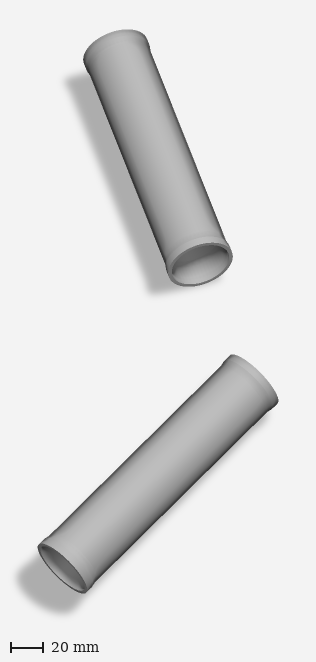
import cadquery as cq

length = 170.0

collar_diameter = 41.1
tube_diameter = 39.6
collar_length = 5.0
flare_length = 5.0

end_bore_diameter = 36.5
middle_bore_diameter = 37.5
end_bore_length = 13.5
bore_taper_length = 5.0

half_length = length / 2


def revolve_about_x(outline):
    """Turn a closed outline in the XZ plane once around the X axis."""
    return outline.close().revolve(360, (0, 0, 0), (1, 0, 0))


def tube_outside():
    """Straight tube that flares into the collars along concave arcs tangent to the tube."""
    collar_start = half_length - collar_length
    flare_start = collar_start - flare_length
    collar_radius = collar_diameter / 2
    tube_radius = tube_diameter / 2
    flare_height = collar_radius - tube_radius
    flare_radius = (flare_length**2 + flare_height**2) / (2 * flare_height)
    outline = (
        cq.Workplane("XZ")
        .moveTo(-half_length, 0)
        .lineTo(-half_length, collar_radius)
        .lineTo(-collar_start, collar_radius)
        .radiusArc((-flare_start, tube_radius), -flare_radius)
        .lineTo(flare_start, tube_radius)
        .radiusArc((collar_start, collar_radius), -flare_radius)
        .lineTo(half_length, collar_radius)
        .lineTo(half_length, 0)
    )
    return revolve_about_x(outline)


def tube_bore():
    """Bore with straight narrow ends joined to the wider middle by cones."""
    end_bore_start = half_length - end_bore_length
    taper_start = end_bore_start - bore_taper_length
    end_radius = end_bore_diameter / 2
    middle_radius = middle_bore_diameter / 2
    outline = cq.Workplane("XZ").polyline(
        [
            (-half_length, 0),
            (-half_length, end_radius),
            (-end_bore_start, end_radius),
            (-taper_start, middle_radius),
            (taper_start, middle_radius),
            (end_bore_start, end_radius),
            (half_length, end_radius),
            (half_length, 0),
        ]
    )
    return revolve_about_x(outline)


result = tube_outside().cut(tube_bore())